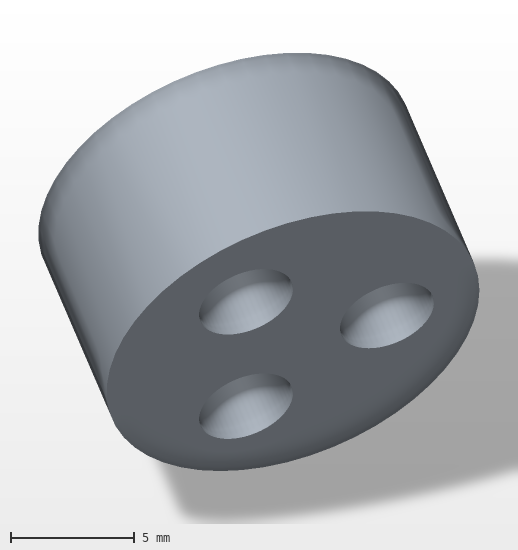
import cadquery as cq

body_diameter = 15.9
body_length = 8.5
hole_diameter = 4.0
hole_circle_radius = 4.0
hole_count = 3

body = cq.Workplane("YZ").circle(body_diameter / 2).extrude(body_length)

holes = (
    cq.Workplane("YZ")
    .polarArray(hole_circle_radius, 0, 360, hole_count)
    .circle(hole_diameter / 2)
    .extrude(body_length)
)

result = body.cut(holes)